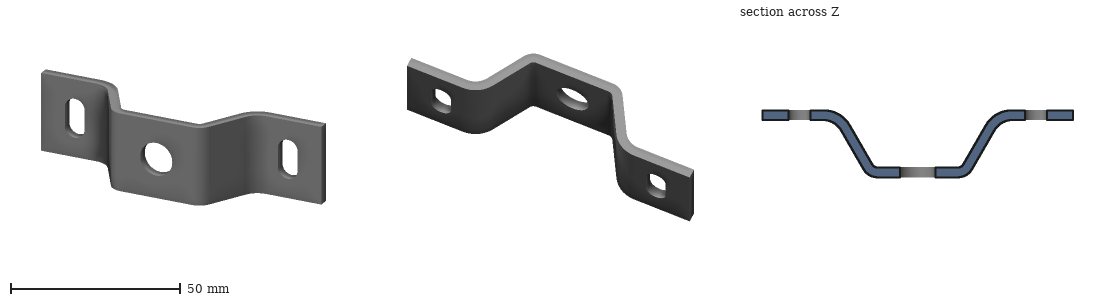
import cadquery as cq
import math

length = 92.0
depth = 20.0
height = 25.0
thickness = 3.0
bend_angle = math.radians(60)
seat_half_width = 11.8
seat_outer_radius = 5.0
flange_inner_radius = 6.0
hole_diameter = 10.5
slot_spacing = 69.9
slot_length = 12.5
slot_width = 6.4

flange_front = depth - thickness
radius_sum = seat_outer_radius + flange_inner_radius
leg_length = (flange_front - radius_sum * (1 - math.cos(bend_angle))) / math.sin(bend_angle)
flange_bend_x = (
    seat_half_width + radius_sum * math.sin(bend_angle) + leg_length * math.cos(bend_angle)
)
seat_bend_center = (seat_half_width, seat_outer_radius)
flange_bend_center = (flange_bend_x, flange_front - flange_inner_radius)


def on_bend(center, radius, angle):
    """Point on a bend arc, with the angle measured from the Y axis."""
    return (center[0] + radius * math.sin(angle), center[1] + radius * math.cos(angle))


def seat_point(radius, angle):
    """Point on the right seat bend; zero angle is where the seat is tangent."""
    return on_bend(seat_bend_center, -radius, -angle)


def flange_point(radius, angle):
    """Point on the right flange bend; zero angle is where the flange is tangent."""
    return on_bend(flange_bend_center, radius, -angle)


def half_strip():
    """Right half of the bent strip, from the middle of the seat to the flange end."""
    seat_inner_radius = seat_outer_radius - thickness
    flange_outer_radius = flange_inner_radius + thickness
    half_angle = bend_angle / 2
    profile = (
        cq.Workplane("XY")
        .moveTo(0, 0)
        .lineTo(*seat_point(seat_outer_radius, 0))
        .threePointArc(
            seat_point(seat_outer_radius, half_angle), seat_point(seat_outer_radius, bend_angle)
        )
        .lineTo(*flange_point(flange_inner_radius, bend_angle))
        .threePointArc(
            flange_point(flange_inner_radius, half_angle), flange_point(flange_inner_radius, 0)
        )
        .lineTo(length / 2, flange_front)
        .lineTo(length / 2, depth)
        .lineTo(*flange_point(flange_outer_radius, 0))
        .threePointArc(
            flange_point(flange_outer_radius, half_angle),
            flange_point(flange_outer_radius, bend_angle),
        )
        .lineTo(*seat_point(seat_inner_radius, bend_angle))
        .threePointArc(
            seat_point(seat_inner_radius, half_angle), seat_point(seat_inner_radius, 0)
        )
        .lineTo(0, thickness)
        .close()
    )
    return profile.extrude(height / 2, both=True)


right_half = half_strip()
strip = right_half.union(right_half.mirror("YZ")).clean()

front_plane = cq.Workplane("XZ")
seat_hole = front_plane.circle(hole_diameter / 2).extrude(-depth)
flange_slots = (
    front_plane.pushPoints([(-slot_spacing / 2, 0), (slot_spacing / 2, 0)])
    .slot2D(slot_length, slot_width, 90)
    .extrude(-depth)
)

result = strip.cut(seat_hole).cut(flange_slots)